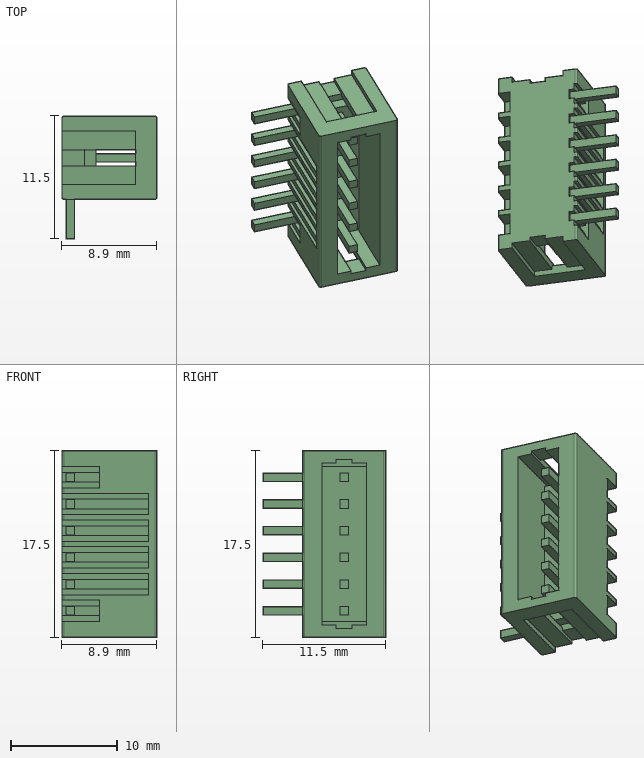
import cadquery as cq

length_x = 8.9
width_y = 7.8
height_z = 17.5
corner_radius = 0.2
mid_y = width_y / 2
mid_z = height_z / 2

pin_count = 6
pitch = 2.5
pin_size = 0.8
leg_center_x = 0.8
leg_drop = 3.7
contact_end_x = 7.4
pin_levels = [mid_z + (i - (pin_count - 1) / 2) * pitch for i in range(pin_count)]

back_wall = 2.1
cavity_width = 4.2
end_wall = 1.15
pin_wall = 3.2
pin_wall_end_gap = 0.35

recess_width = 5.0
recess_length = 6.9
recess_depth = 0.5
groove_width = 1.5
groove_depth = 0.85

channel_width = 2.0
channel_depth = 0.3
channel_inner_width = 0.9
channel_inner_depth = 0.8
end_channel_length = 3.5
long_channel_length = 8.1

notch_width = 2.0
notch_depth = 1.2
notch_length = back_wall


def block(x_range, y_range, z_range):
    """Axis-aligned block spanning the given (low, high) ranges."""
    lows, highs = zip(x_range, y_range, z_range)
    size = [high - low for low, high in zip(lows, highs)]
    return cq.Workplane("XY").box(*size, centered=False).translate(lows)


def around(center, size):
    """(low, high) range of the given size about a center."""
    return (center - size / 2, center + size / 2)


def make_shell():
    """Outer block with rounded Z edges and the cavity, with its keyways, hollowed from +X."""
    outer = block((0, length_x), (0, width_y), (0, height_z)).edges("|Z").fillet(corner_radius)
    cavity_height = height_z - 2 * end_wall
    cavity = block((back_wall, length_x), around(mid_y, cavity_width), around(mid_z, cavity_height))
    carrier_height = cavity_height - 2 * pin_wall_end_gap
    carrier = block((back_wall, pin_wall), around(mid_y, cavity_width), around(mid_z, carrier_height))
    keyway_height = height_z - 2 * groove_depth
    keyways = block((back_wall, length_x), around(mid_y, groove_width), around(mid_z, keyway_height))
    return outer.cut(cavity.union(keyways)).union(carrier)


def cut_end_recesses(body):
    """Wide recess and central groove at both ends; the groove opens into the cavity keyway."""
    for width, depth in ((recess_width, recess_depth), (groove_width, groove_depth)):
        for z_range in ((0, depth), (height_z - depth, height_z)):
            body = body.cut(block((0, recess_length), around(mid_y, width), z_range))
    return body


def cut_channels(body):
    """Stepped channel at each pin; the first and last are short."""
    for i, z in enumerate(pin_levels):
        length = end_channel_length if i in (0, pin_count - 1) else long_channel_length
        body = body.cut(block((0, length), (0, channel_depth), around(z, channel_width)))
        body = body.cut(block((0, length), (0, channel_inner_depth), around(z, channel_inner_width)))
    return body


def cut_notches(body):
    """Notch at each pin level along the rear +Y edge."""
    for z in pin_levels:
        body = body.cut(block((0, notch_length), (width_y - notch_depth, width_y), around(z, notch_width)))
    return body


def make_pin(z):
    """Right-angle pin: a leg along Y and a contact along X."""
    leg = block(around(leg_center_x, pin_size), (-leg_drop, mid_y + pin_size / 2), around(z, pin_size))
    contact = block((leg_center_x, contact_end_x), around(mid_y, pin_size), around(z, pin_size))
    return leg.union(contact)


result = cut_notches(cut_channels(cut_end_recesses(make_shell())))
for level in pin_levels:
    result = result.union(make_pin(level))